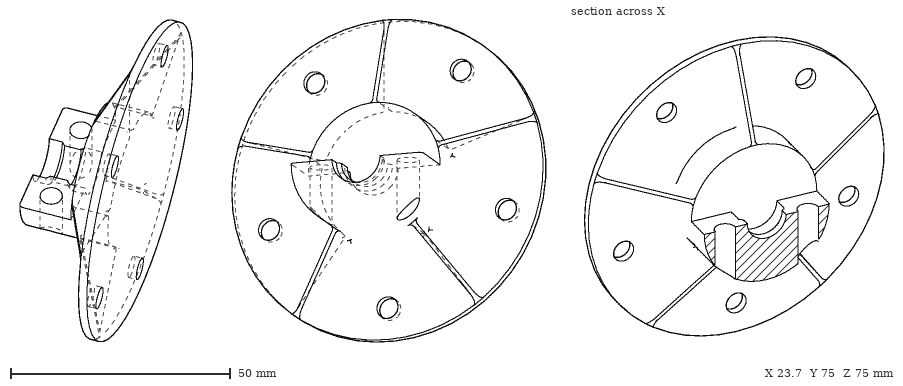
import cadquery as cq
import math

flange_radius = 37.5
flange_thickness = 2.0
hole_diameter = 5.0
flange_hole_circle_radius = 30.0

hub_radius = 15.9
hub_length = 9.15
clamp_length = 12.5
edge_radius = 1.0

bore_radius = 5.8
collar_radius = 4.9
collar_start = 3.15
collar_end = 8.8
collar_bevel = 0.8

bolt_setback = 6.0
bolt_offset = 10.5

rib_count = 5
rib_thickness = 1.0
fillet_radius = 1.0
rib_pitch = 360 / rib_count
lowest_side_rib_angle = 90 - rib_pitch

flange_face = -flange_thickness
hub_face = flange_face - hub_length
clamp_face = hub_face - clamp_length


def make_flange():
    first_hole_angle = -90
    return (
        cq.Workplane("YZ")
        .circle(flange_radius)
        .extrude(flange_face)
        .faces("<X")
        .workplane(origin=(flange_face, 0, 0))
        .polarArray(flange_hole_circle_radius, first_hole_angle, 360, rib_count)
        .hole(hole_diameter)
    )


def make_hub():
    return cq.Workplane("YZ", origin=(flange_face, 0, 0)).circle(hub_radius).extrude(-hub_length)


def make_bore():
    """Stepped bore with a bevelled collar, revolved about the X axis."""
    return (
        cq.Workplane("XZ")
        .moveTo(clamp_face, 0)
        .lineTo(clamp_face, bore_radius)
        .lineTo(clamp_face + collar_start, bore_radius)
        .lineTo(clamp_face + collar_start + collar_bevel, collar_radius)
        .lineTo(clamp_face + collar_end - collar_bevel, collar_radius)
        .lineTo(clamp_face + collar_end, bore_radius)
        .lineTo(hub_face, bore_radius)
        .lineTo(hub_face, 0)
        .close()
        .revolve(360, (0, 0, 0), (1, 0, 0))
    )


def make_clamp():
    """Lower half of a cylinder, with its outer rim rounded."""
    block = (
        cq.Workplane("YZ", origin=(hub_face, 0, 0))
        .moveTo(-hub_radius, 0)
        .threePointArc((0, -hub_radius), (hub_radius, 0))
        .close()
        .extrude(-clamp_length)
        .faces("<X")
        .edges("%CIRCLE")
        .fillet(edge_radius)
    )
    bolt_holes = (
        cq.Workplane("XY")
        .pushPoints([(clamp_face + bolt_setback, side * bolt_offset) for side in (-1, 1)])
        .circle(hole_diameter / 2)
        .extrude(-hub_radius)
    )
    return block.cut(make_bore()).cut(bolt_holes)


def make_rib():
    """Upright rib, blended into the flange and hub along both sides."""
    blank_width = rib_thickness + 4 * fillet_radius
    root_radius = hub_radius - fillet_radius
    wedge = (
        cq.Workplane("XZ")
        .moveTo(flange_face, root_radius)
        .lineTo(hub_face, root_radius)
        .lineTo(hub_face, hub_radius)
        .lineTo(flange_face, flange_radius)
        .close()
        .extrude(blank_width / 2, both=True)
    )
    side_space = (
        cq.Workplane("XY")
        .box(2 * hub_length, blank_width, flange_radius, centered=False)
        .translate((flange_face - 2 * hub_length, rib_thickness / 2, hub_radius / 2))
        .cut(make_hub().faces("<X").workplane().circle(hub_radius).extrude(2 * hub_length))
    )
    side_space = side_space.faces("<Y").edges(">X or <Z").fillet(fillet_radius)
    return wedge.cut(side_space).cut(side_space.mirror("XZ"))


def make_hub_blend():
    """Fillet at the foot of the hub, running below the two side ribs."""
    arc_inset = fillet_radius * (1 - math.sqrt(0.5))
    sweep = 180 + 2 * lowest_side_rib_angle
    ring = (
        cq.Workplane("XY")
        .moveTo(flange_face, hub_radius)
        .lineTo(flange_face, hub_radius + fillet_radius)
        .threePointArc(
            (flange_face - arc_inset, hub_radius + arc_inset),
            (flange_face - fillet_radius, hub_radius),
        )
        .close()
        .revolve(sweep, (0, 0, 0), (-1, 0, 0))
    )
    return ring.rotate((0, 0, 0), (1, 0, 0), lowest_side_rib_angle)


result = make_flange().union(make_hub()).union(make_clamp()).union(make_hub_blend())
rib = make_rib()
for index in range(rib_count):
    result = result.union(rib.rotate((0, 0, 0), (1, 0, 0), index * rib_pitch))